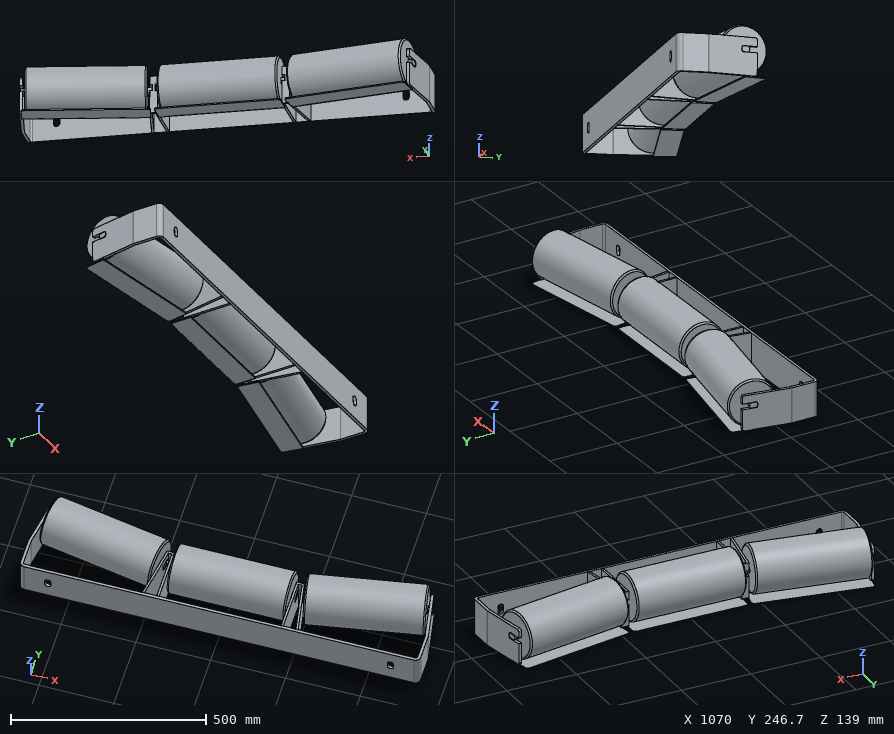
import cadquery as cq
import math

LENGTH = 1070.0
HALF_LENGTH = LENGTH / 2
STRIP_HEIGHT = 101.0
FRAME_THICKNESS = 9.0
BEND_RADIUS = 14.0
INNER_BEND_RADIUS = BEND_RADIUS - FRAME_THICKNESS
ARM_BEND_Y = 82.0
ARM_END_Y = 216.0
ARM_CORNER_RADIUS = 6.0

TILT = 10.0
SIN = math.sin(math.radians(TILT))
COS = math.cos(math.radians(TILT))
TAN = math.tan(math.radians(TILT))

BOLT_SLOT_X = 458.0
BOLT_SLOT_ABOVE_EDGE = 52.0
BOLT_SLOT_WIDTH = 16.0
BOLT_SLOT_LENGTH = 28.0

PLATE_LENGTH = 332.0
PLATE_WIDTH = 61.0
PLATE_THICKNESS = 3.0
PLATE_CORNER_RADIUS = 10.0
STRIP_BOTTOM = PLATE_THICKNESS
STRIP_MIDDLE_Z = STRIP_BOTTOM + STRIP_HEIGHT / 2

BRACKET_THICKNESS = 6.0
WEB_Y = 152.0
STRAIGHT_LEG_X = 169.0
LEANING_FOOT_X = 202.0

ROLLER_RADIUS = 66.0
ROLLER_LENGTH = 315.0
ROLLER_CHAMFER = 4.0
AXIS_Z = 73.0
MIDDLE_AXIS_Y = 125.0
SIDE_ROLLER_X = 349.0
SIDE_AXIS_Y = 155.0
SHAFT_RADIUS = 11.2
SHAFT_HALF_HEIGHT = 8.0
SHAFT_LENGTH = 2 * STRAIGHT_LEG_X

SLOT_REACH = ARM_END_Y
ARM_SLOT_EXTRA = 11.0
LEG_SLOT_EXTRA = 2.0

STATIONS = [
    (-SIDE_ROLLER_X, SIDE_AXIS_Y, -TILT),
    (0, MIDDLE_AXIS_Y, 0),
    (SIDE_ROLLER_X, SIDE_AXIS_Y, TILT),
]


def at_station(body, station):
    """Move a body made along X at the origin to one roller's place."""
    x, y, turn = station
    return body.rotate((0, 0, 0), (0, 0, 1), turn).translate((x, y, 0))


def fillet_edge(body, point, radius):
    """Round the one edge whose middle is at the point."""
    return body.edges(cq.selectors.NearestToPointSelector(point)).fillet(radius)


def make_shaft(length):
    """Round shaft with a flat above and a flat below."""
    flat_half_width = math.sqrt(SHAFT_RADIUS**2 - SHAFT_HALF_HEIGHT**2)
    return (
        cq.Workplane("YZ", origin=(-length / 2, 0, AXIS_Z))
        .moveTo(-flat_half_width, -SHAFT_HALF_HEIGHT)
        .lineTo(flat_half_width, -SHAFT_HALF_HEIGHT)
        .threePointArc((SHAFT_RADIUS, 0), (flat_half_width, SHAFT_HALF_HEIGHT))
        .lineTo(-flat_half_width, SHAFT_HALF_HEIGHT)
        .threePointArc((-SHAFT_RADIUS, 0), (-flat_half_width, -SHAFT_HALF_HEIGHT))
        .close()
        .extrude(length)
    )


def make_roller():
    """Chamfered drum with a shaft end standing out on each side."""
    drum = (
        cq.Workplane("YZ", origin=(-ROLLER_LENGTH / 2, 0, AXIS_Z))
        .circle(ROLLER_RADIUS)
        .extrude(ROLLER_LENGTH)
        .faces("<X or >X")
        .chamfer(ROLLER_CHAMFER)
    )
    return drum.union(make_shaft(SHAFT_LENGTH))


def make_plate():
    """Flat plate from the roller axis toward +Y, with its two far corners rounded."""
    return (
        cq.Workplane("XY")
        .box(PLATE_LENGTH, PLATE_WIDTH, PLATE_THICKNESS, centered=(True, False, False))
        .edges("|Z and >Y")
        .fillet(PLATE_CORNER_RADIUS)
    )


def make_shaft_slots(extra_length):
    """Cutter for the seats at both ends of one shaft, open toward +Y."""
    length = SHAFT_LENGTH + extra_length
    opening = (
        cq.Workplane("XY", origin=(0, 0, AXIS_Z))
        .box(length, SLOT_REACH, 2 * SHAFT_HALF_HEIGHT, centered=(True, False, True))
    )
    return make_shaft(length).union(opening)


def cut_shaft_slots(body, extra_length):
    for station in STATIONS:
        body = body.cut(at_station(make_shaft_slots(extra_length), station))
    return body


def make_half_frame():
    """Right half of the bent strip, with rounded bends and arm corners."""
    inner_x = HALF_LENGTH - FRAME_THICKNESS
    inner_bend_y = ARM_BEND_Y - FRAME_THICKNESS * math.tan(math.radians(TILT / 2))
    outer_end_x = HALF_LENGTH - (ARM_END_Y - ARM_BEND_Y) * TAN
    inner_end_x = outer_end_x - FRAME_THICKNESS * COS
    inner_end_y = ARM_END_Y - FRAME_THICKNESS * SIN
    half = (
        cq.Workplane("XY", origin=(0, 0, STRIP_BOTTOM))
        .moveTo(0, 0)
        .lineTo(HALF_LENGTH, 0)
        .lineTo(HALF_LENGTH, ARM_BEND_Y)
        .lineTo(outer_end_x, ARM_END_Y)
        .lineTo(inner_end_x, inner_end_y)
        .lineTo(inner_x, inner_bend_y)
        .lineTo(inner_x, FRAME_THICKNESS)
        .lineTo(0, FRAME_THICKNESS)
        .close()
        .extrude(STRIP_HEIGHT)
    )
    bends = [
        (HALF_LENGTH, 0, BEND_RADIUS),
        (inner_x, FRAME_THICKNESS, INNER_BEND_RADIUS),
        (HALF_LENGTH, ARM_BEND_Y, BEND_RADIUS),
        (inner_x, inner_bend_y, INNER_BEND_RADIUS),
    ]
    for x, y, radius in bends:
        half = fillet_edge(half, (x, y, STRIP_MIDDLE_Z), radius)
    end_x = (outer_end_x + inner_end_x) / 2
    end_y = (ARM_END_Y + inner_end_y) / 2
    for z in (STRIP_BOTTOM, STRIP_BOTTOM + STRIP_HEIGHT):
        half = fillet_edge(half, (end_x, end_y, z), ARM_CORNER_RADIUS)
    return half


def make_frame():
    """Whole strip with bolt slots in its back and shaft slots in its arms."""
    half = make_half_frame()
    frame = half.union(half.mirror("YZ"))
    slot_z = STRIP_BOTTOM + BOLT_SLOT_ABOVE_EDGE
    bolt_slots = (
        cq.Workplane("XZ", origin=(0, FRAME_THICKNESS, 0))
        .pushPoints([(-BOLT_SLOT_X, slot_z), (BOLT_SLOT_X, slot_z)])
        .slot2D(BOLT_SLOT_LENGTH, BOLT_SLOT_WIDTH, 90)
        .extrude(FRAME_THICKNESS)
    )
    return cut_shaft_slots(frame.cut(bolt_slots), ARM_SLOT_EXTRA)


def make_bracket():
    """Right-hand bracket standing on the back of the frame."""
    web_inner_y = WEB_Y - BRACKET_THICKNESS
    leg_width = BRACKET_THICKNESS / COS

    def leaning_x(y):
        return LEANING_FOOT_X - (y - FRAME_THICKNESS) * TAN

    bracket = (
        cq.Workplane("XY", origin=(0, 0, STRIP_BOTTOM))
        .moveTo(STRAIGHT_LEG_X - BRACKET_THICKNESS, FRAME_THICKNESS)
        .lineTo(STRAIGHT_LEG_X - BRACKET_THICKNESS, WEB_Y)
        .lineTo(leaning_x(WEB_Y) + leg_width, WEB_Y)
        .lineTo(LEANING_FOOT_X + leg_width, FRAME_THICKNESS)
        .lineTo(LEANING_FOOT_X, FRAME_THICKNESS)
        .lineTo(leaning_x(web_inner_y), web_inner_y)
        .lineTo(STRAIGHT_LEG_X, web_inner_y)
        .lineTo(STRAIGHT_LEG_X, FRAME_THICKNESS)
        .close()
        .extrude(STRIP_HEIGHT)
    )
    return cut_shaft_slots(bracket, LEG_SLOT_EXTRA)


frame = make_frame()
right_bracket = make_bracket()
brackets = [right_bracket.mirror("YZ"), right_bracket]
rollers = [at_station(make_roller(), station) for station in STATIONS]
plates = [at_station(make_plate(), station) for station in STATIONS]

bodies = [frame, *brackets, *rollers, *plates]
result = cq.Compound.makeCompound([body.solids().val() for body in bodies])